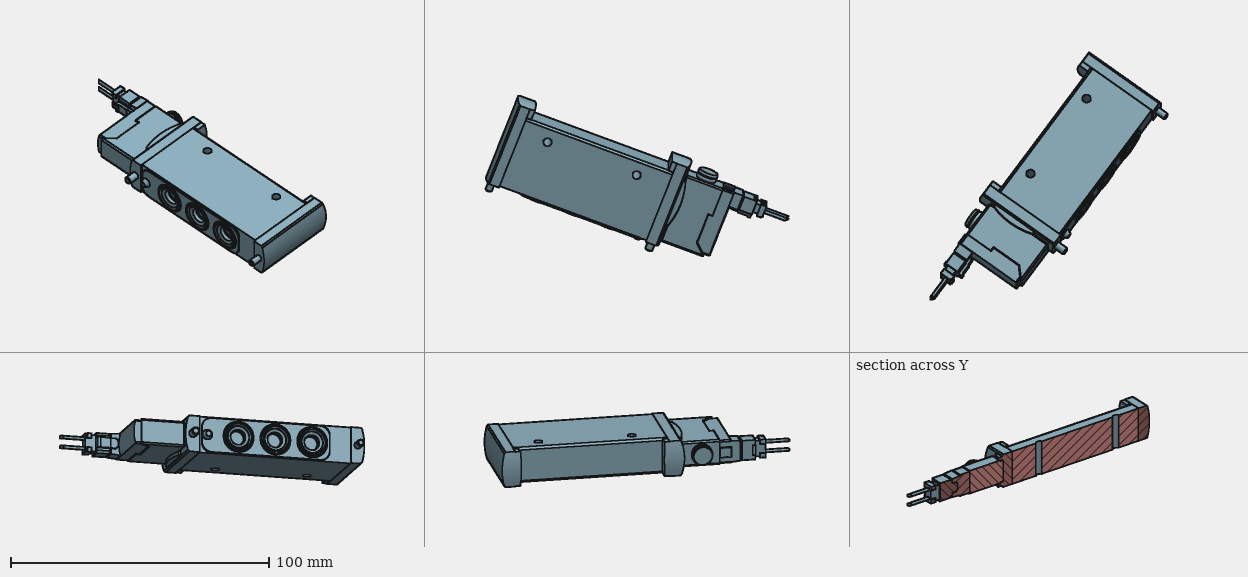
import cadquery as cq
import math

LENGTH = 115.2
DEPTH = 39.2
HEIGHT = 14.4
HALF = HEIGHT / 2

BODY_START = 48.8
BODY_END = 109.8
BODY_FRONT = 5.2
BODY_BACK = 34.3
BODY_CHAMFER = 0.9
CROSS_HOLE_D = 3.2
CROSS_HOLE_XS = (61.7, 98.7)
CROSS_HOLE_Y = 28.3

PAD_FRONT = 4.5
PAD_START = 49.8
PAD_END = 101.3
PAD_HEIGHT = 13.6
PAD_CORNER_R = 3.7
PORT_FIRST_X = 64.4
PORT_PITCH = 14.9
PORT_COUNT = 3
RING_BASE_D = 12.2
RING_D = 11.5
RING_FRONT = 4.0
PORT_MOUTH_D = 10.3
PORT_SEAT_D = 8.8
PORT_SEAT_DEPTH = 0.5
PORT_CONE_D = 8.5
PORT_CONE_DEPTH = 1.2
PORT_D = 6.0
PORT_DEPTH = 2.9
PORT_FLOOR_D = 5.6
PORT_FLOOR_DEPTH = 3.5
NUB_X = 51.8
NUB_BASE_D = 3.9
NUB_TIP_D = 2.2
NUB_TIP_Y = 2.6

CAP_FRONT = 4.5
CAP_BACK_SAG = 0.9
CAP_FACE_SAG = 0.9
CAP_CHAMFER = 0.6
LEFT_CAP_TIP = 43.1
HOOK_HEIGHT = 14.0
HOOK_TIP_REACH = 2.2
HOOK_EDGE_REACH = 2.0
LEFT_PIN_X = 46.0
LEFT_PIN_D = 3.0
RIGHT_PIN_X = 112.4
RIGHT_PIN_D = 2.6
PIN_CHAMFER = 0.3

SHELF_TIP = 41.5
SHELF_END_X = 43.0
SHELF_START_Y = 13.6
SHELF_END_Y = 32.3
SHELF_HEIGHT = 12.9

COIL_START = 25.8
COIL_END = 43.0
COIL_FRONT = 6.2
COIL_BACK = 34.5
COIL_HEIGHT = 10.1
COIL_CHAMFER = 0.7
SPIGOT_INSET = 0.6
SPIGOT_END = 44.5
BUTTON_X = 35.5
BUTTON_TOP = 37.9
BUTTON_D = 8.1
BUTTON_NECK_D = 7.4
BUTTON_NECK_Y = 36.2
BUTTON_CHAMFER = 0.6

COVER_TIP = 23.0
COVER_FACE_SAG = 0.7
COVER_FRONT = 7.3
COVER_TOE_X = 26.0
COVER_STEP_X = 28.2
COVER_FLAP_X = 29.8
COVER_FLAP_START_Y = 10.8
COVER_STEP_Y = 22.8
COVER_HEIGHT = 9.5
COVER_CHAMFER = 0.6
COVER_GAP = 0.2
BUMP_TOP = 35.4
BUMP_WIDTH = 3.9
SOCKET_START = 19.9
SOCKET_FRONT = 28.5
SOCKET_HEIGHT = 8.1
SOCKET_ROOT_HEIGHT = 8.8

PLUG_START = 14.0
PLUG_SHOULDER = 19.4
PLUG_FRONT = 28.2
PLUG_BACK = 34.3
PLUG_HEIGHT = 8.1
PLUG_CHAMFER_Y = 0.5
PLUG_CHAMFER_Z = 1.0
PLUG_MID = (PLUG_FRONT + PLUG_BACK) / 2
PLUG_TIP_INSET = 0.6
LIP_LENGTH = 1.2
LIP_HEIGHT = 0.6
LATCH_FRONT = 27.0
LATCH_LIP_FRONT = 26.6
LATCH_WIDTH = 3.9
TONGUE_FRONT = 27.3
TONGUE_BACK = 29.3
TONGUE_CHAMFER = 0.8
LATCH_END = 22.5
NECK_START = 9.8
NECK_FRONT = 29.5
NECK_BACK = 33.2
NECK_HEIGHT = 6.5
EAR_START = 10.5
EAR_END = 12.1
EAR_SPACING = 3.7
RIM_FRONT = 29.0
EAR_FRONT = 28.7
EAR_BACK = 33.6
EAR_HEIGHT = 7.5
WIRE_D = 1.3
WIRE_Y = 31.0
WIRE_SPACING = 3.9


def block(x0, x1, y0, y1, height):
    """Box between two X and two Y limits, centred on the mid-plane."""
    solid = cq.Workplane("XY").box(x1 - x0, y1 - y0, height, centered=False)
    return solid.translate((x0, y0, -height / 2))


def disc(x, y0, y1, diameter, end_diameter=None):
    """Cylinder or cone along Y, from y0 to y1."""
    end_d = diameter if end_diameter is None else end_diameter
    profile = [(0, y0), (diameter / 2, y0), (end_d / 2, y1), (0, y1)]
    turned = cq.Workplane("XY").polyline(profile).close().revolve(360, (0, 0, 0), (0, 1, 0))
    return turned.translate((x, 0, 0))


def make_port_pad():
    pad = block(PAD_START, PAD_END, PAD_FRONT, BODY_FRONT, PAD_HEIGHT)
    return pad.edges("|Y").fillet(PAD_CORNER_R)


def make_nub():
    return disc(NUB_X, NUB_TIP_Y, PAD_FRONT, NUB_TIP_D, NUB_BASE_D)


def make_port_space(x):
    """Empty space of one port: a conical mouth and seat, then a stepped bore."""
    seat_y = RING_FRONT + PORT_SEAT_DEPTH
    cone_y = RING_FRONT + PORT_CONE_DEPTH
    bore_y = RING_FRONT + PORT_DEPTH
    floor_y = RING_FRONT + PORT_FLOOR_DEPTH
    space = disc(x, RING_FRONT, seat_y, PORT_MOUTH_D, PORT_SEAT_D)
    space = space.union(disc(x, seat_y, cone_y, PORT_CONE_D, PORT_D))
    space = space.union(disc(x, cone_y, bore_y, PORT_D))
    return space.union(disc(x, bore_y, floor_y, PORT_FLOOR_D))


def make_valve_body():
    body = block(BODY_START, BODY_END, BODY_FRONT, BODY_BACK, HEIGHT)
    body = body.edges(">Y and |X").chamfer(BODY_CHAMFER)
    body = body.union(make_port_pad()).union(make_nub())
    for index in range(PORT_COUNT):
        x = PORT_FIRST_X + index * PORT_PITCH
        body = body.union(disc(x, RING_FRONT, PAD_FRONT, RING_D, RING_BASE_D))
        body = body.cut(make_port_space(x))
    holes = cq.Workplane("XY").pushPoints([(x, CROSS_HOLE_Y) for x in CROSS_HOLE_XS])
    return body.cut(holes.circle(CROSS_HOLE_D / 2).extrude(HALF, both=True))


def make_cap(inner_x, tip_x, pin_x, pin_diameter):
    """End cap with a bowed outer face, a bowed back, a hook behind the body and a pin in front."""
    outward = math.copysign(1, tip_x - inner_x)
    edge_z = HALF - CAP_CHAMFER
    face_x = tip_x - outward * CAP_FACE_SAG
    hook_half = HOOK_HEIGHT / 2
    hook_edge = inner_x - outward * HOOK_EDGE_REACH
    hook_tip = inner_x - outward * HOOK_TIP_REACH
    top_x = face_x - outward * CAP_CHAMFER

    slab = (
        cq.Workplane("XZ")
        .moveTo(inner_x, -HALF)
        .lineTo(top_x, -HALF)
        .lineTo(face_x, -edge_z)
        .threePointArc((tip_x, 0), (face_x, edge_z))
        .lineTo(top_x, HALF)
        .lineTo(inner_x, HALF)
        .close()
        .extrude(-(DEPTH - CAP_FRONT))
        .translate((0, CAP_FRONT, 0))
    )
    hook = (
        cq.Workplane("XZ")
        .moveTo(inner_x, -hook_half)
        .lineTo(hook_edge, -hook_half)
        .threePointArc((hook_tip, 0), (hook_edge, hook_half))
        .lineTo(inner_x, hook_half)
        .close()
        .extrude(-(DEPTH - BODY_BACK))
        .translate((0, BODY_BACK, 0))
    )
    back_edge = DEPTH - CAP_BACK_SAG
    bowed_back = (
        cq.Workplane("YZ")
        .moveTo(CAP_FRONT, -HALF)
        .lineTo(back_edge, -HALF)
        .threePointArc((DEPTH, 0), (back_edge, HALF))
        .lineTo(CAP_FRONT, HALF)
        .close()
        .extrude(LENGTH)
    )
    pin = disc(pin_x, 0, CAP_FRONT, pin_diameter).faces("<Y").chamfer(PIN_CHAMFER)
    return slab.union(hook).intersect(bowed_back).union(pin)


def make_spigot():
    """Slimmer end of the coil that fits into the left cap."""
    return block(
        COIL_END,
        SPIGOT_END,
        COIL_FRONT + SPIGOT_INSET,
        COIL_BACK - SPIGOT_INSET,
        COIL_HEIGHT - 2 * SPIGOT_INSET,
    )


def make_left_cap():
    cap = make_cap(BODY_START, LEFT_CAP_TIP, LEFT_PIN_X, LEFT_PIN_D)
    shelf = (
        cq.Workplane("XY")
        .moveTo(SPIGOT_END, SHELF_START_Y)
        .lineTo(SHELF_END_X, SHELF_START_Y)
        .threePointArc((SHELF_TIP, (SHELF_START_Y + SHELF_END_Y) / 2), (SHELF_END_X, SHELF_END_Y))
        .lineTo(SPIGOT_END, SHELF_END_Y)
        .close()
        .extrude(SHELF_HEIGHT / 2, both=True)
    )
    coil_space = block(COIL_START, COIL_END, COIL_FRONT, COIL_BACK, COIL_HEIGHT)
    return cap.union(shelf).cut(coil_space).cut(make_spigot())


def make_right_cap():
    return make_cap(BODY_END, LENGTH, RIGHT_PIN_X, RIGHT_PIN_D)


def cover_outline(gap=0.0):
    """Outline of the cover, or of the room left for it with a gap beside its flap."""
    return (
        cq.Workplane("XY")
        .moveTo(COVER_TIP, COVER_FRONT - gap)
        .lineTo(COVER_TOE_X + gap, COVER_FRONT - gap)
        .lineTo(COVER_FLAP_X + gap, COVER_FLAP_START_Y - gap)
        .lineTo(COVER_FLAP_X + gap, COVER_STEP_Y + gap)
        .lineTo(COVER_STEP_X, COVER_STEP_Y + gap)
        .lineTo(COVER_STEP_X, COIL_BACK)
        .lineTo(COVER_TIP, COIL_BACK)
        .close()
    )


def make_button():
    rim = BUTTON_D / 2
    neck = BUTTON_NECK_D / 2
    crown_y = BUTTON_TOP - BUTTON_CHAMFER
    profile = (
        cq.Workplane("XY")
        .moveTo(0, COIL_BACK)
        .lineTo(neck, COIL_BACK)
        .threePointArc((rim, (COIL_BACK + BUTTON_NECK_Y) / 2), (neck, BUTTON_NECK_Y))
        .lineTo(rim, (BUTTON_NECK_Y + crown_y) / 2)
        .lineTo(neck, BUTTON_TOP)
        .lineTo(0, BUTTON_TOP)
        .close()
    )
    return profile.revolve(360, (0, 0, 0), (0, 1, 0)).translate((BUTTON_X, 0, 0))


def make_solenoid():
    coil = block(COIL_START, COIL_END, COIL_FRONT, COIL_BACK, COIL_HEIGHT)
    coil = coil.edges("|X").chamfer(COIL_CHAMFER)
    coil = coil.cut(cover_outline(COVER_GAP).extrude(HEIGHT, both=True))
    return coil.union(make_button()).union(make_spigot())


def make_socket():
    half = SOCKET_HEIGHT / 2
    root_half = SOCKET_ROOT_HEIGHT / 2
    root_x = COVER_TIP + COVER_FACE_SAG
    profile = [
        (SOCKET_START, -half),
        (root_x, -root_half),
        (root_x, root_half),
        (SOCKET_START, half),
    ]
    socket = cq.Workplane("XZ").polyline(profile).close().extrude(-(COIL_BACK - SOCKET_FRONT))
    return socket.translate((0, SOCKET_FRONT, 0))


def make_cover():
    half = COVER_HEIGHT / 2
    edge_x = COVER_TIP + COVER_FACE_SAG
    bowed_face = (
        cq.Workplane("XZ")
        .moveTo(COVER_FLAP_X, -half)
        .lineTo(edge_x, -half)
        .threePointArc((COVER_TIP, 0), (edge_x, half))
        .lineTo(COVER_FLAP_X, half)
        .close()
        .extrude(-DEPTH)
    )
    cover = cover_outline().extrude(HEIGHT, both=True).intersect(bowed_face)
    cover = cover.faces("<Y or >Y").edges("|X").chamfer(COVER_CHAMFER)
    bump = block(edge_x, COVER_STEP_X, COIL_BACK, BUMP_TOP, BUMP_WIDTH)
    return cover.union(bump).union(make_socket()).cut(make_latch())


def make_latch():
    """Latch bar below the plug, with a thicker lip in front and a tongue that enters the socket."""
    bar = block(PLUG_START, PLUG_SHOULDER, LATCH_FRONT, PLUG_MID, LATCH_WIDTH)
    lip = block(PLUG_START, PLUG_START + LIP_LENGTH, LATCH_LIP_FRONT, PLUG_MID, LATCH_WIDTH)
    tongue = block(PLUG_SHOULDER, LATCH_END, TONGUE_FRONT, TONGUE_BACK, LATCH_WIDTH)
    tongue = tongue.edges(">X and |Y").chamfer(TONGUE_CHAMFER)
    return bar.union(lip).union(tongue)


def make_wires():
    wires = cq.Workplane("YZ").pushPoints([(WIRE_Y, -WIRE_SPACING / 2), (WIRE_Y, WIRE_SPACING / 2)])
    wires = wires.circle(WIRE_D / 2).extrude(NECK_START)
    near_y = WIRE_Y - WIRE_D / 2
    corner = [(0, near_y), (WIRE_D, near_y), (0, near_y + WIRE_D)]
    bevel = cq.Workplane("XY").polyline(corner).close().extrude(HALF, both=True)
    return wires.cut(bevel)


def make_ears():
    """Ribs around the upper and lower ends of the neck, each with a slimmer front rim."""
    rim = block(NECK_START, EAR_START, RIM_FRONT, EAR_BACK, EAR_HEIGHT)
    ears = block(EAR_START, EAR_END, EAR_FRONT, EAR_BACK, EAR_HEIGHT)
    opening = block(NECK_START, EAR_END, EAR_FRONT, EAR_BACK, EAR_SPACING)
    return rim.union(ears).cut(opening)


def make_plug_housing():
    half = PLUG_HEIGHT / 2
    profile = [
        (PLUG_BACK, half),
        (PLUG_BACK, -half),
        (PLUG_FRONT + PLUG_CHAMFER_Y, -half),
        (PLUG_FRONT, PLUG_CHAMFER_Z - half),
        (PLUG_FRONT, half - PLUG_CHAMFER_Z),
        (PLUG_FRONT + PLUG_CHAMFER_Y, half),
    ]
    housing = cq.Workplane("YZ").polyline(profile).close().extrude(PLUG_SHOULDER - PLUG_START)
    housing = housing.translate((PLUG_START, 0, 0))
    lip = block(PLUG_START, PLUG_START + LIP_LENGTH, PLUG_BACK, PLUG_BACK + LIP_HEIGHT, LATCH_WIDTH)
    tip = block(
        PLUG_SHOULDER,
        SOCKET_START,
        PLUG_FRONT + PLUG_TIP_INSET,
        PLUG_BACK - PLUG_TIP_INSET,
        PLUG_HEIGHT - 2 * PLUG_TIP_INSET,
    )
    return housing.union(lip).union(tip)


def make_connector():
    plug = make_plug_housing().union(make_latch()).union(make_ears())
    plug = plug.union(block(NECK_START, PLUG_START, NECK_FRONT, NECK_BACK, NECK_HEIGHT))
    for wire in make_wires().vals():
        plug = plug.union(cq.Workplane(wire))
    return plug


valve_body = make_valve_body()
left_cap = make_left_cap()
right_cap = make_right_cap()
solenoid = make_solenoid()
cover = make_cover()
connector = make_connector()

result = cq.Compound.makeCompound([
    valve_body.val(),
    left_cap.val(),
    right_cap.val(),
    solenoid.val(),
    cover.val(),
    connector.val(),
])